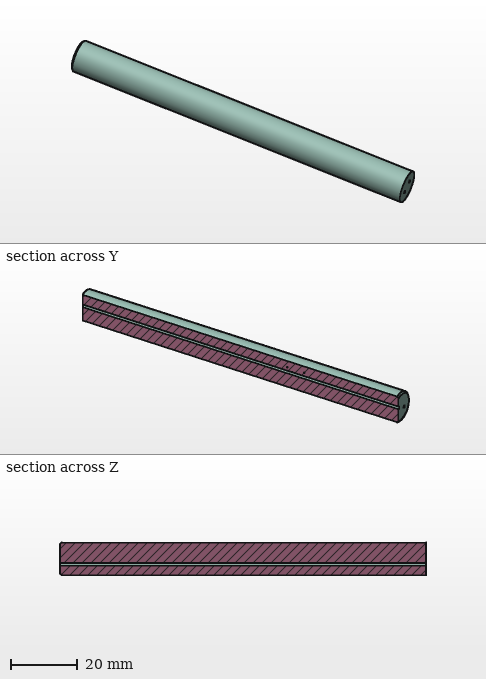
import cadquery as cq

length = 110.0
diameter = 10.0

chamfer = 0.5

hole_diameter = 0.8
hole_y = 1.6
hole_z = 0.7


def rod():
    blank = cq.Workplane("YZ").circle(diameter / 2).extrude(length)
    return blank.faces("<X").chamfer(chamfer)


def through_holes():
    centers = [(hole_y, hole_z), (-hole_y, -hole_z)]
    return cq.Workplane("YZ").pushPoints(centers).circle(hole_diameter / 2).extrude(length)


result = rod().cut(through_holes())